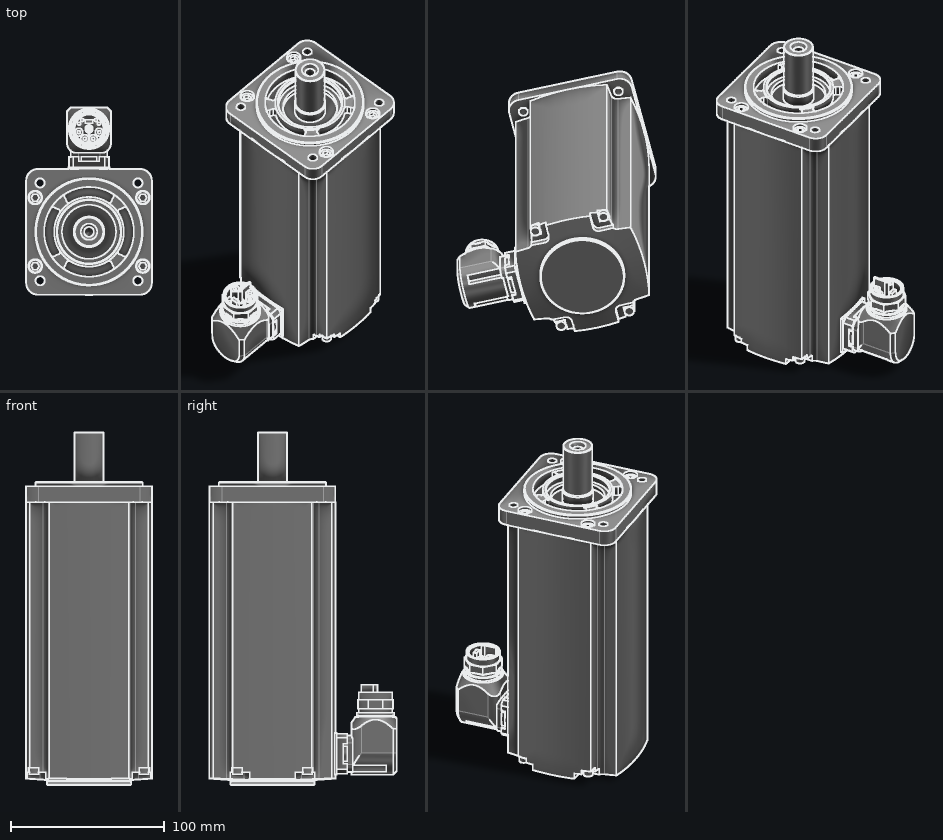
import cadquery as cq
import math


FLANGE_SIDE = 82.0
FLANGE_THICKNESS = 10.4
FLANGE_CORNER_RADIUS = 8.0
TOTAL_LENGTH = 229.4
TOTAL_DEPTH = 122.0
SHAFT_LENGTH = 35.0
SHAFT_DIAMETER = 19.0
HALF_SIDE = FLANGE_SIDE / 2
BOTTOM_Z = SHAFT_LENGTH - TOTAL_LENGTH

PILOT_HEIGHT = 2.8
PILOT_DIAMETER = 70.0
PILOT_CHAMFER = 0.6
RECESS_DIAMETER = 58.4
RIM_DEPTH = 0.4
RIM_DIAMETER = 45.4
RIB_DEPTH = 1.6
POCKET_DEPTH = 8.0
RIB_ANGLES = (45, 135, 225, 315)
RIB_HALF_ANGLE = 9.0
RIB_ROOT_RADIUS = 2.0
RIB_OVERLAP = 0.3
SEAL_BORE_DIAMETER = 41.2
SEAL_BORE_DEPTH = 5.4
SEAL_CHAMFER = 0.5
SEAL_FLOOR_DIAMETER = 35.2
SEAL_FLOOR_DEPTH = 8.8

SHOULDER_DIAMETER = 20.0
SHOULDER_HEIGHT = PILOT_HEIGHT
SHOULDER_CHAMFER_HEIGHT = 1.0
SHAFT_CHAMFER = 0.3
CENTRE_SINK_DIAMETER = 10.6
CENTRE_SINK_DEPTH = 2.5
CENTRE_HOLE_DIAMETER = 6.4
CENTRE_HOLE_DEPTH = 18.0
CENTRE_TIP_DEPTH = 2.0

MOUNT_CIRCLE_DIAMETER = 90.0
MOUNT_HOLE_DIAMETER = 5.8
BOLT_X = 35.0
BOLT_Y = 22.3
BOLT_BORE_DIAMETER = 9.0
BOLT_BORE_DEPTH = 6.0
BOLT_HEAD_DIAMETER = 8.0
BOLT_HEAD_HEIGHT = 4.0
BOLT_SOCKET_WIDTH = 5.2
BOLT_SOCKET_DEPTH = 3.0

BODY_END_Z = BOTTOM_Z + 3.2
END_SLOPE = 0.07
SIDE_CROWN = HALF_SIDE
FRONT_CROWN = HALF_SIDE + 0.12
PANEL_HALF_WIDTH = 25.7
PANEL_EDGE = 38.45
NOTCH_CORNER = 27.0
NOTCH_RADIUS = 3.9
END_PLATE_DIAMETER = 55.0
END_PLATE_CHAMFER = 0.6
END_PLATE_RIM = 2.1
END_NECK_DIAMETER = 54.0

FOOT_TOP_Z = BOTTOM_Z + 8.3
FOOT_INNER_Y = 14.7
FOOT_FACE_X = 28.2
FOOT_OUTER_Y = NOTCH_CORNER + NOTCH_RADIUS
NUT_X = 35.8
NUT_Y = 22.8
NUT_DIAMETER = 6.1
NUT_WINDOW = 6.4
NUT_BOTTOM_Z = BOTTOM_Z + 7.2
NUT_TOP_Z = BOTTOM_Z + 11.2

PLUG_Z = BOTTOM_Z + 21.0
PLUG_AXIS_Y = 67.0
ELBOW_HALF_WIDTH = 14.35
ELBOW_OUTER_Y = TOTAL_DEPTH - FRONT_CROWN
ELBOW_INNER_Y = 51.3
ELBOW_TOP_Z = BOTTOM_Z + 44.3
ELBOW_CHAMFER = 2.4
ELBOW_INNER_FILLET = 6.4
CONE_TOP_RADIUS = 13.2
CONE_SLOPE = 1.48
GRIP_FACE_X = 7.3
GRIP_OUTER_Y = 74.0
GRIP_TOP_Z = BOTTOM_Z + 12.9

BASE_Z = BOTTOM_Z + 20.4
NECK_WIDTH = 24.0
NECK_FILLET = 5.0
PLATE_WIDTH = 26.1
PLATE_START_Y = 42.0
PLATE_END_Y = 46.0
PLATE_CHAMFER = 2.8
LUG_END_Y = 48.7
LUG_GAP = 13.2
HUB_DIAMETER = 26.0
GASKET_WIDTH = 27.2
GASKET_START_Y = 39.0

HEAD_DIAMETER = 21.95
COLLAR_DIAMETER = 24.6
NUT_RING_SIDES = 8
NUT_RING_FLATS = 22.9
COLLAR_BOTTOM_Z = BOTTOM_Z + 45.1
COLLAR_TOP_Z = BOTTOM_Z + 47.2
NUT_RING_BOTTOM_Z = BOTTOM_Z + 49.6
NUT_RING_TOP_Z = BOTTOM_Z + 55.4
HEAD_TOP_Z = BOTTOM_Z + 60.4
HEAD_BORE_DIAMETER = 18.6
HEAD_BORE_DEPTH = 9.0
HEAD_BORE_CHAMFER = 0.7
PIN_TOP_Z = HEAD_TOP_Z - 1.0
PIN_DIAMETER = 5.2
PIN_HOLE_DIAMETER = 1.99
PIN_HOLE_DEPTH = 8.0
PIN_CIRCLE_RADIUS = 7.0
PIN_ANGLES = (-18, -67, -113, -162)
CONTACT_ANGLES = (28, 52, 128, 152)
CONTACT_RADIUS = 7.3
POST_TOP_Z = BOTTOM_Z + 65.3
POST_DIAMETER = 2.8
POST_FOOT_DIAMETER = 5.1
POST_FOOT_HEIGHT = 3.0
POST_HOLE_DIAMETER = 0.99
POST_HOLE_DEPTH = 5.0
WEB_THICKNESS = 1.2
KEY_WIDTH = 4.92
KEY_INNER_Y = 3.6
KEY_OUTER_Y = 5.8


def cylinder(diameter, bottom, top, x=0.0, y=0.0):
    """Vertical cylinder between two heights."""
    base = cq.Workplane("XY", origin=(x, y, bottom))
    return base.circle(diameter / 2).extrude(top - bottom)


def block(x_range, y_range, z_range):
    """Box given by its lower and upper limits along each axis."""
    size = [upper - lower for lower, upper in (x_range, y_range, z_range)]
    corner = (x_range[0], y_range[0], z_range[0])
    return cq.Workplane("XY").box(*size, centered=False).translate(corner)


def polar(radius, degrees):
    """Point at the given radius and angle."""
    angle = math.radians(degrees)
    return (radius * math.cos(angle), radius * math.sin(angle))


def turned(x, y, degrees):
    """The point turned about the Z axis."""
    angle = math.radians(degrees)
    return (x * math.cos(angle) - y * math.sin(angle), x * math.sin(angle) + y * math.cos(angle))


def four_corners(x, y):
    """The point and its mirror images in X and Y."""
    return [(sx * x, sy * y) for sx in (-1, 1) for sy in (-1, 1)]


def make_housing():
    """Four bulged panels with a filleted notch along every corner, on a round end plate."""
    outline = cq.Workplane("XY", origin=(0, 0, BODY_END_Z)).moveTo(PANEL_EDGE, -PANEL_HALF_WIDTH)
    for side in range(4):
        angle = 90 * side
        crown = SIDE_CROWN if side % 2 == 0 else FRONT_CROWN
        outline = outline.threePointArc(
            turned(crown, 0, angle), turned(PANEL_EDGE, PANEL_HALF_WIDTH, angle)
        )
        outline = outline.lineTo(*turned(NOTCH_CORNER, NOTCH_CORNER, angle))
        outline = outline.lineTo(*turned(PANEL_HALF_WIDTH, PANEL_EDGE, angle))
    housing = outline.close().extrude(-FLANGE_THICKNESS - BODY_END_Z)
    notch_limit = NOTCH_CORNER + 1
    notch_corners = cq.selectors.BoxSelector(
        (-notch_limit, -notch_limit, BOTTOM_Z), (notch_limit, notch_limit, 0)
    )
    housing = housing.edges("|Z").edges(notch_corners).fillet(NOTCH_RADIUS)
    rim_z = BOTTOM_Z + END_PLATE_RIM
    end_plate = cylinder(END_PLATE_DIAMETER, BOTTOM_Z, rim_z).faces("<Z").chamfer(END_PLATE_CHAMFER)
    neck = cylinder(END_NECK_DIAMETER, rim_z, BODY_END_Z)
    return housing.cut(end_slope()).union(neck).union(end_plate)


def end_slope():
    """Ring below the shallow cone that shapes the lower end of the housing."""
    inner = END_PLATE_DIAMETER / 2
    return (
        cq.Workplane("XZ")
        .moveTo(inner, BODY_END_Z)
        .lineTo(FLANGE_SIDE, BODY_END_Z)
        .lineTo(FLANGE_SIDE, BODY_END_Z + END_SLOPE * (FLANGE_SIDE - inner))
        .close()
        .revolve(360, (0, 0, 0), (0, 1, 0))
    )


def shape_feet(housing):
    """Opens the lower corners of the two X panels and sets a tie bolt nut in a window above each."""
    opening = block(
        (FOOT_FACE_X, HALF_SIDE), (FOOT_INNER_Y, FOOT_OUTER_Y), (BODY_END_Z, FOOT_TOP_Z)
    )
    opening = opening.edges("|Z and <X and <Y").fillet(NOTCH_RADIUS)
    half = NUT_WINDOW / 2
    window = block(
        (NUT_X - half, HALF_SIDE), (NUT_Y - half, FOOT_OUTER_Y), (FOOT_TOP_Z, NUT_TOP_Z)
    )
    nut = cylinder(NUT_DIAMETER, NUT_BOTTOM_Z, NUT_TOP_Z, NUT_X, NUT_Y)
    corner = opening.union(window)
    for mirror_planes in ((), ("YZ",), ("XZ",), ("YZ", "XZ")):
        corner_cut = corner
        corner_nut = nut
        for plane in mirror_planes:
            corner_cut = corner_cut.mirror(plane)
            corner_nut = corner_nut.mirror(plane)
        housing = housing.cut(corner_cut).union(corner_nut)
    return housing


def make_flange():
    """Square mounting flange with the centring pilot."""
    plate = (
        cq.Workplane("XY", origin=(0, 0, -FLANGE_THICKNESS))
        .rect(FLANGE_SIDE, FLANGE_SIDE)
        .extrude(FLANGE_THICKNESS)
        .edges("|Z")
        .fillet(FLANGE_CORNER_RADIUS)
    )
    pilot = cylinder(PILOT_DIAMETER, 0, PILOT_HEIGHT).faces(">Z").chamfer(PILOT_CHAMFER)
    return plate.union(pilot)


def make_rib(angle):
    """Radial rib with flared roots that bridges the ring groove at the given angle."""
    root = RIB_ROOT_RADIUS
    bend = root * (1 - math.sqrt(0.5))
    inner_half = RIM_DIAMETER / 2 * math.sin(math.radians(RIB_HALF_ANGLE))
    outer_half = RECESS_DIAMETER / 2 * math.sin(math.radians(RIB_HALF_ANGLE))
    inner = math.sqrt((RIM_DIAMETER / 2) ** 2 - (inner_half + root) ** 2)
    outer = math.sqrt((RECESS_DIAMETER / 2) ** 2 - (outer_half + root) ** 2)
    outer_end = RECESS_DIAMETER / 2 + RIB_OVERLAP
    half_rib = (
        cq.Workplane("XY", origin=(0, 0, PILOT_HEIGHT - POCKET_DEPTH))
        .moveTo(inner - RIB_OVERLAP, inner_half + root)
        .lineTo(inner, inner_half + root)
        .threePointArc((inner + bend, inner_half + bend), (inner + root, inner_half))
        .lineTo(outer - root, outer_half)
        .threePointArc((outer - bend, outer_half + bend), (outer, outer_half + root))
        .lineTo(outer_end, outer_half + root)
        .lineTo(outer_end, 0)
        .lineTo(inner - RIB_OVERLAP, 0)
        .close()
        .extrude(POCKET_DEPTH - RIB_DEPTH)
    )
    rib = half_rib.union(half_rib.mirror("XZ"))
    return rib.rotate((0, 0, 0), (0, 0, 1), angle)


def cut_pilot(flange):
    """Sinks the stepped seal bore with its rim, and a ring groove parted by four low ribs."""
    rim_z = PILOT_HEIGHT - RIM_DEPTH
    groove_z = PILOT_HEIGHT - POCKET_DEPTH
    seat_z = PILOT_HEIGHT - SEAL_BORE_DEPTH
    floor_z = PILOT_HEIGHT - SEAL_FLOOR_DEPTH
    seal_radius = SEAL_BORE_DIAMETER / 2
    stepped_bore = (
        cq.Workplane("XZ")
        .moveTo(0, PILOT_HEIGHT)
        .lineTo(RECESS_DIAMETER / 2, PILOT_HEIGHT)
        .lineTo(RECESS_DIAMETER / 2, groove_z)
        .lineTo(RIM_DIAMETER / 2, groove_z)
        .lineTo(RIM_DIAMETER / 2, rim_z)
        .lineTo(seal_radius + SEAL_CHAMFER, rim_z)
        .lineTo(seal_radius, rim_z - SEAL_CHAMFER)
        .lineTo(seal_radius, seat_z)
        .lineTo(SEAL_FLOOR_DIAMETER / 2, seat_z)
        .lineTo(SEAL_FLOOR_DIAMETER / 2, floor_z)
        .lineTo(0, floor_z)
        .close()
        .revolve(360, (0, 0, 0), (0, 1, 0))
    )
    flange = flange.cut(stepped_bore)
    for angle in RIB_ANGLES:
        flange = flange.union(make_rib(angle))
    return flange


def make_shaft():
    """Stepped shaft with a countersunk centre hole in its end."""
    bottom = PILOT_HEIGHT - SEAL_FLOOR_DEPTH
    shaft = cylinder(SHAFT_DIAMETER, bottom, SHAFT_LENGTH).faces(">Z").chamfer(SHAFT_CHAMFER)
    shoulder = cylinder(SHOULDER_DIAMETER, bottom, SHOULDER_HEIGHT)
    step = (SHOULDER_DIAMETER - SHAFT_DIAMETER) / 2
    shaft = shaft.union(shoulder.faces(">Z").chamfer(SHOULDER_CHAMFER_HEIGHT, step))
    hole_floor = SHAFT_LENGTH - CENTRE_HOLE_DEPTH
    centre_hole = (
        cq.Workplane("XZ")
        .moveTo(0, SHAFT_LENGTH)
        .lineTo(CENTRE_SINK_DIAMETER / 2, SHAFT_LENGTH)
        .lineTo(CENTRE_HOLE_DIAMETER / 2, SHAFT_LENGTH - CENTRE_SINK_DEPTH)
        .lineTo(CENTRE_HOLE_DIAMETER / 2, hole_floor)
        .lineTo(0, hole_floor - CENTRE_TIP_DEPTH)
        .close()
        .revolve(360, (0, 0, 0), (0, 1, 0))
    )
    return shaft.cut(centre_hole)


def add_flange_holes(body):
    """Four mounting holes and four recessed tie bolts with hexagon sockets."""
    mount = MOUNT_CIRCLE_DIAMETER / 2 * math.sqrt(0.5)
    for x, y in four_corners(mount, mount):
        body = body.cut(cylinder(MOUNT_HOLE_DIAMETER, -FLANGE_THICKNESS, 0, x, y))
    head_top = BOLT_HEAD_HEIGHT - BOLT_BORE_DEPTH
    for x, y in four_corners(BOLT_X, BOLT_Y):
        body = body.cut(cylinder(BOLT_BORE_DIAMETER, -BOLT_BORE_DEPTH, 0, x, y))
        head = cylinder(BOLT_HEAD_DIAMETER, -BOLT_BORE_DEPTH, head_top, x, y)
        socket = (
            cq.Workplane("XY", origin=(x, y, head_top - BOLT_SOCKET_DEPTH))
            .polygon(6, BOLT_SOCKET_WIDTH)
            .extrude(BOLT_SOCKET_DEPTH)
        )
        body = body.union(head.cut(socket))
    return body


def connector_slab(width, start_y, end_y):
    """Square slab around the connector's Y axis."""
    half = width / 2
    return block((-half, half), (start_y, end_y), (BASE_Z - half, BASE_Z + half))


def make_connector_base():
    """Gasket, chamfered plate with four corner lugs, round hub and the neck into the elbow."""
    gasket = connector_slab(GASKET_WIDTH, GASKET_START_Y, PLATE_START_Y)
    plate = connector_slab(PLATE_WIDTH, PLATE_START_Y, LUG_END_Y).edges("|Y").chamfer(PLATE_CHAMFER)
    half = PLATE_WIDTH / 2
    gap = LUG_GAP / 2
    lug_range = (PLATE_END_Y, LUG_END_Y)
    plate = plate.cut(block((-half, half), lug_range, (BASE_Z - gap, BASE_Z + gap)))
    plate = plate.cut(block((-gap, gap), lug_range, (BASE_Z - half, BASE_Z + half)))
    neck = connector_slab(NECK_WIDTH, PLATE_START_Y, ELBOW_INNER_Y + 1).edges("|Y").fillet(NECK_FILLET)
    hub = (
        cq.Workplane("XZ", origin=(0, LUG_END_Y, BASE_Z))
        .circle(HUB_DIAMETER / 2)
        .extrude(LUG_END_Y - PLATE_START_Y)
    )
    return gasket.union(plate).union(hub).union(neck)


def make_elbow():
    """Elbow housing: round underside, rectangular flanks, conical shoulder."""
    depth = ELBOW_OUTER_Y - ELBOW_INNER_Y
    flanks = block(
        (-ELBOW_HALF_WIDTH, ELBOW_HALF_WIDTH), (ELBOW_INNER_Y, ELBOW_OUTER_Y), (PLUG_Z, ELBOW_TOP_Z)
    )
    underside = (
        cq.Workplane("XZ", origin=(0, ELBOW_OUTER_Y, PLUG_Z)).circle(ELBOW_HALF_WIDTH).extrude(depth)
    )
    underside = underside.faces(">Y").edges().chamfer(ELBOW_CHAMFER)
    flanks = flanks.edges("|Z and >Y").chamfer(ELBOW_CHAMFER)
    elbow = flanks.union(underside)
    plan = (
        block((-ELBOW_HALF_WIDTH, ELBOW_HALF_WIDTH), (ELBOW_INNER_Y, ELBOW_OUTER_Y), (BOTTOM_Z, ELBOW_TOP_Z))
        .edges("|Z and <Y")
        .fillet(ELBOW_INNER_FILLET)
    )
    cone_height = ELBOW_TOP_Z - BOTTOM_Z
    cone = (
        cq.Workplane("XZ", origin=(0, PLUG_AXIS_Y, 0))
        .moveTo(0, ELBOW_TOP_Z)
        .lineTo(CONE_TOP_RADIUS, ELBOW_TOP_Z)
        .lineTo(CONE_TOP_RADIUS + cone_height / CONE_SLOPE, BOTTOM_Z)
        .lineTo(0, BOTTOM_Z)
        .close()
        .revolve(360, (0, 0, 0), (0, 1, 0))
    )
    elbow = elbow.intersect(plan).intersect(cone)
    grip = block((GRIP_FACE_X, ELBOW_HALF_WIDTH), (ELBOW_INNER_Y, GRIP_OUTER_Y), (BOTTOM_Z, GRIP_TOP_Z))
    return elbow.cut(grip).cut(grip.mirror("YZ"))


def plug_cylinder(diameter, bottom, top, offset=(0.0, 0.0)):
    """Vertical cylinder placed relative to the axis of the connector head."""
    return cylinder(diameter, bottom, top, offset[0], PLUG_AXIS_Y + offset[1])


def make_head():
    """Turned connector head with its nut, bore, contact pins, central post, web and key."""
    head = plug_cylinder(HEAD_DIAMETER, ELBOW_TOP_Z, HEAD_TOP_Z)
    head = head.union(plug_cylinder(COLLAR_DIAMETER, COLLAR_BOTTOM_Z, COLLAR_TOP_Z))
    nut = (
        cq.Workplane("XY", origin=(0, PLUG_AXIS_Y, NUT_RING_BOTTOM_Z))
        .polygon(NUT_RING_SIDES, NUT_RING_FLATS, circumscribed=True)
        .extrude(NUT_RING_TOP_Z - NUT_RING_BOTTOM_Z)
    )
    head = head.union(nut)
    floor = HEAD_TOP_Z - HEAD_BORE_DEPTH
    head = head.cut(plug_cylinder(HEAD_BORE_DIAMETER, floor, HEAD_TOP_Z))
    mouth_diameter = HEAD_BORE_DIAMETER + 2 * HEAD_BORE_CHAMFER
    head = head.cut(plug_cylinder(mouth_diameter, HEAD_TOP_Z - HEAD_BORE_CHAMFER, HEAD_TOP_Z))
    for angle in PIN_ANGLES:
        place = polar(PIN_CIRCLE_RADIUS, angle)
        pin = plug_cylinder(PIN_DIAMETER, floor, PIN_TOP_Z, place)
        hole = plug_cylinder(PIN_HOLE_DIAMETER, PIN_TOP_Z - PIN_HOLE_DEPTH, PIN_TOP_Z, place)
        head = head.union(pin).cut(hole)
    for angle in CONTACT_ANGLES:
        place = polar(CONTACT_RADIUS, angle)
        head = head.cut(plug_cylinder(PIN_HOLE_DIAMETER, ELBOW_TOP_Z, floor, place))
    post = plug_cylinder(POST_DIAMETER, floor, POST_TOP_Z)
    post = post.union(plug_cylinder(POST_FOOT_DIAMETER, floor, floor + POST_FOOT_HEIGHT))
    half_web = WEB_THICKNESS / 2
    web_outer_y = PLUG_AXIS_Y - HEAD_BORE_DIAMETER / 2
    web = block((-half_web, half_web), (web_outer_y, PLUG_AXIS_Y), (floor, POST_TOP_Z))
    post_hole = plug_cylinder(POST_HOLE_DIAMETER, POST_TOP_Z - POST_HOLE_DEPTH, POST_TOP_Z)
    head = head.union(post).union(web).cut(post_hole)
    key = block(
        (-KEY_WIDTH / 2, KEY_WIDTH / 2),
        (PLUG_AXIS_Y + KEY_INNER_Y, PLUG_AXIS_Y + KEY_OUTER_Y),
        (floor, PIN_TOP_Z),
    )
    return head.union(key)


flange = cut_pilot(make_flange())
motor = add_flange_holes(flange.union(shape_feet(make_housing()))).union(make_shaft())
result = motor.union(make_connector_base()).union(make_elbow()).union(make_head())